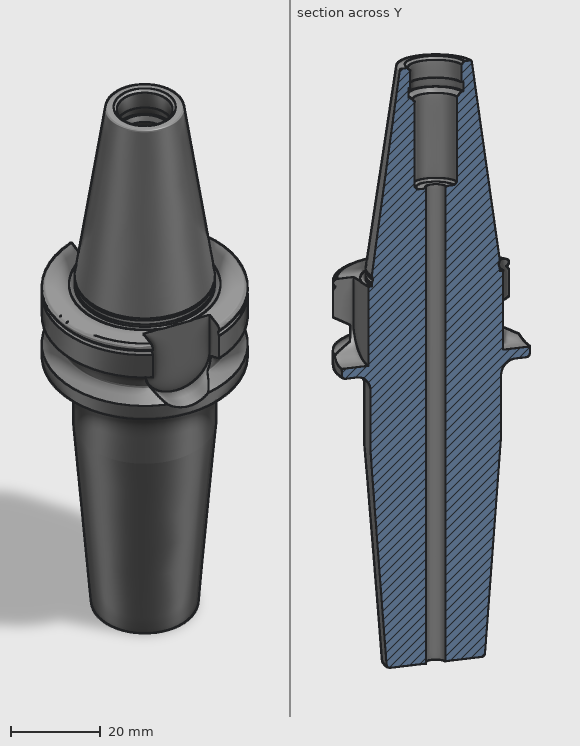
import cadquery as cq
import math

total_height = 138.4
gauge_height = 90.0

taper_gauge_radius = 31.7 / 2
taper_slope = 7 / 48
taper_end_height = 91.2
taper_top_fillet = 0.5
neck_groove_height = 90.4
neck_groove_depth = 0.3

flange_radius = 23.0
flange_top = 89.0
flange_bottom = 68.1
flange_edge_fillet = 1.0
face_recess_radius = 16.9
face_recess_depth = 0.1
groove_floor_radius = 19.1
groove_center_height = 76.3
groove_floor_width = 3.5
groove_flank_angle = 30
groove_corner_fillet = 0.5
ring_groove_height = 87.2
ring_groove_depth = 0.5
ring_groove_half_width = 0.7

body_radius = 32.0 / 2
body_fillet = 3.3
body_cone_top = 50.8
body_cone_angle = 4.5
body_edge_fillet = 1.0

slot_half_width = 8.2
slot_floor_x = 16.5
slot_center_height = 78.7

counterbore_radius = 6.2
counterbore_depth = 6.9
undercut_start = 4.8
undercut_step = 0.4
counterbore_chamfer = 0.7
thread_bore_radius = 5.1
thread_bore_depth = 27.7
bore_end_radius = 4.4
through_hole_radius = 2.4


def taper_radius(height):
    """Radius of the drive taper at a given height."""
    return taper_gauge_radius - taper_slope * (height - gauge_height)


def fillet_mid(center_r, center_z, radius, sign_r, sign_z):
    """Middle point of a quarter-circle arc around the given centre."""
    offset = radius * math.sqrt(0.5)
    return (center_r + sign_r * offset, center_z + sign_z * offset)


def revolve(profile):
    """Turn a closed (radius, height) profile around the Z axis."""
    return profile.close().revolve(360, (0, 0, 0), (0, 1, 0))


def make_outer_body():
    neck_radius = taper_radius(taper_end_height)
    tip_radius = taper_radius(total_height)
    face_radius = flange_radius - flange_edge_fillet
    flank_height = (flange_radius - groove_floor_radius) * math.tan(math.radians(groove_flank_angle))
    groove_half_floor = groove_floor_width / 2
    groove_half_mouth = groove_half_floor + flank_height
    cone_slope = math.tan(math.radians(body_cone_angle))
    end_radius = body_radius - body_cone_top * cone_slope

    profile = (
        cq.Workplane("XZ")
        .moveTo(0, total_height)
        .lineTo(tip_radius, total_height)
        .lineTo(neck_radius, taper_end_height)
        .lineTo(neck_radius - neck_groove_depth, neck_groove_height)
        .lineTo(neck_radius, 2 * neck_groove_height - taper_end_height)
        .lineTo(neck_radius, flange_top - face_recess_depth)
        .lineTo(face_recess_radius, flange_top - face_recess_depth)
        .lineTo(face_recess_radius, flange_top)
        .lineTo(face_radius, flange_top)
        .threePointArc(
            fillet_mid(face_radius, flange_top - flange_edge_fillet, flange_edge_fillet, 1, 1),
            (flange_radius, flange_top - flange_edge_fillet),
        )
        .lineTo(flange_radius, ring_groove_height + ring_groove_half_width)
        .lineTo(flange_radius - ring_groove_depth, ring_groove_height)
        .lineTo(flange_radius, ring_groove_height - ring_groove_half_width)
        .lineTo(flange_radius, groove_center_height + groove_half_mouth)
        .lineTo(groove_floor_radius, groove_center_height + groove_half_floor)
        .lineTo(groove_floor_radius, groove_center_height - groove_half_floor)
        .lineTo(flange_radius, groove_center_height - groove_half_mouth)
        .lineTo(flange_radius, flange_bottom + flange_edge_fillet)
        .threePointArc(
            fillet_mid(face_radius, flange_bottom + flange_edge_fillet, flange_edge_fillet, 1, -1),
            (face_radius, flange_bottom),
        )
        .lineTo(body_radius + body_fillet, flange_bottom)
        .threePointArc(
            fillet_mid(body_radius + body_fillet, flange_bottom - body_fillet, body_fillet, -1, 1),
            (body_radius, flange_bottom - body_fillet),
        )
        .lineTo(body_radius, body_cone_top)
        .lineTo(end_radius, 0)
        .lineTo(0, 0)
    )
    body = revolve(profile)
    body = body.faces(">Z").edges().fillet(taper_top_fillet)
    body = body.faces("<Z").edges().fillet(body_edge_fillet)
    for corner_height in (
        groove_center_height - groove_half_floor,
        groove_center_height + groove_half_floor,
    ):
        corner = cq.selectors.NearestToPointSelector((0, 0, corner_height))
        body = body.edges("%CIRCLE").edges(corner).fillet(groove_corner_fillet)
    return body


def make_bore():
    undercut_top = total_height - undercut_start
    counterbore_bottom = total_height - counterbore_depth
    thread_start = counterbore_bottom - (counterbore_radius - thread_bore_radius)
    thread_end = total_height - thread_bore_depth
    bore_end = thread_end - (thread_bore_radius - bore_end_radius)

    profile = (
        cq.Workplane("XZ")
        .moveTo(0, total_height)
        .lineTo(counterbore_radius + counterbore_chamfer, total_height)
        .lineTo(counterbore_radius, total_height - counterbore_chamfer)
        .lineTo(counterbore_radius, undercut_top)
        .lineTo(counterbore_radius + undercut_step, undercut_top)
        .lineTo(counterbore_radius + undercut_step, counterbore_bottom)
        .lineTo(counterbore_radius, counterbore_bottom)
        .lineTo(thread_bore_radius, thread_start)
        .lineTo(thread_bore_radius, thread_end)
        .lineTo(bore_end_radius, bore_end)
        .lineTo(through_hole_radius, bore_end)
        .lineTo(through_hole_radius, 0)
        .lineTo(0, 0)
    )
    return revolve(profile)


def make_drive_slot(side):
    """Round-ended slot on the +X (side = 1) or -X (side = -1) flank, open at the flange top."""
    depth = flange_radius - slot_floor_x
    return (
        cq.Workplane("YZ", origin=(side * slot_floor_x, 0, 0))
        .moveTo(-slot_half_width, flange_top)
        .lineTo(-slot_half_width, slot_center_height)
        .threePointArc(
            (0, slot_center_height - slot_half_width),
            (slot_half_width, slot_center_height),
        )
        .lineTo(slot_half_width, flange_top)
        .close()
        .extrude(side * depth)
    )


result = make_outer_body().cut(make_bore())
for slot_side in (-1, 1):
    result = result.cut(make_drive_slot(slot_side))